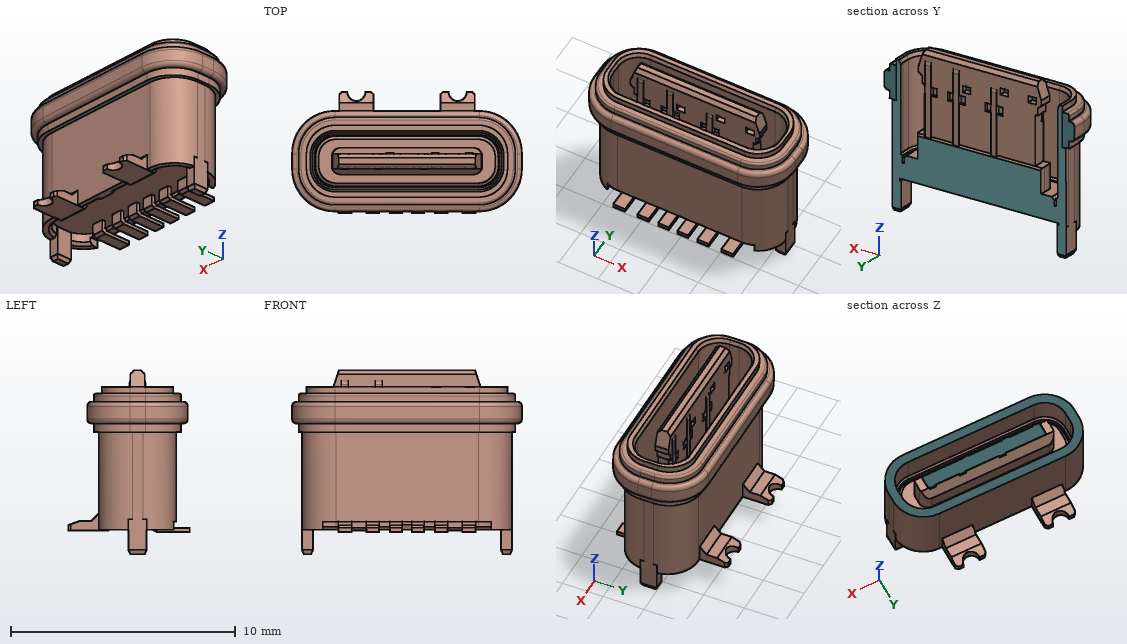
import cadquery as cq
import math


TOTAL_HEIGHT = 8.2
SHELL_BOTTOM = 1.09
SEAL_BOTTOM = 5.44
BEAD_BOTTOM = 5.82
BEAD_TOP = 6.8
SEAL_TOP = 7.16
RIM_TOP = 7.45

BEAD_HALF_X = 5.12
BEAD_HALF_Y = 2.24
BEAD_CORNER = 1.9
SLEEVE_INSET = 0.3
BORE_INSET = 0.65
BEAD_FILLET = 0.22
SLEEVE_FILLET = 0.1

SHELL_HALF_X = 4.68
SHELL_HALF_Y = 1.73
SHELL_CORNER = 1.51
MOUTH_INSET = 0.37
CAVITY_INSET = 0.46
LEDGE_INSET = 0.55
PEDESTAL_INSET = 0.61
LEAD_IN_DEPTH = 0.19
CAVITY_FLOOR = 2.46
LEDGE_TOP = 2.81
PEDESTAL_TOP = 2.87
PEDESTAL_CHAMFER = 0.14

RECESS_INSET = 0.41
RECESS_TOP = 1.64
RECESS_CHAMFER = 0.14
NOTCH_HALF_X = 3.75
NOTCH_TOP = 1.45

RIB_WIDTH = 0.82
RIB_FACE_Y = 1.23
RIB_BEVEL_TOP = 1.31
RIB_BEVEL_DEPTH = 0.12

TONGUE_HALF_Y = 0.33
TONGUE_TIP_HALF_X = 3.03
TONGUE_HALF_X = 3.3
TONGUE_SHOULDER_TOP = 7.39
TONGUE_SHOULDER_BOTTOM = 7.11
LATCH_HALF_X = 3.1
LATCH_TOP = 6.96
STEM_HALF_X = 2.98
STEM_TOP = 6.59
TIP_CHAMFER = 0.18
TONGUE_BASE_HALF_X = 3.36
TONGUE_BASE_HALF_Y = 0.59
TONGUE_BASE_CORNER = 0.41
TONGUE_BASE_TOP = 4.1
TONGUE_BASE_EDGE = 3.58

CONTACTS = [(-2.76, 7.73), (-1.26, 7.73), (0.76, 7.32)]
CONTACT_WIDTH = 0.32
CONTACT_RISE = 0.04
CONTACT_BEVEL = 0.16
WINDOW_WIDTH = 0.42
WINDOW_HEIGHT = 0.32
WINDOW_SHIFT = 0.04
WINDOW_DROP = 0.45
WINDOW_DEPTH = 0.31
RELIEF_WIDTH = 0.92
RELIEF_TOP = 6.51
RELIEF_HEIGHT = 0.41
RELIEF_DEPTH = 0.15

LEG_HALF_Y = 0.41
LEG_THICKNESS = 0.5
LEG_TOP = 1.57
LEG_TIP_HEIGHT = 0.19
LEG_TIP_INSET = 0.09

TAB_CENTER_X = 2.25
TAB_WIDTH = 1.53
TAB_TIP_Y = 3.08
TAB_BOTTOM = 1.05
TAB_INNER_Y = 1.17
TAB_INNER_BEVEL = 0.13
TAB_TIP_TOP = 1.3
TAB_TOP = 1.48
TAB_FLAT_OUTER_Y = 2.59
TAB_FLAT_INNER_Y = 2.07
TAB_CORNER = 0.11
TAB_NOTCH_RADIUS = 0.4

FEET = [(2.75, 0.6), (1.53, 0.57), (0.49, 0.54)]
FOOT_TIP_Y = -2.32
FOOT_BOTTOM = 0.99
FOOT_THICKNESS = 0.18
FOOT_RISER_Y = -0.86
FOOT_BEND = 0.12
FOOT_HEEL_RISE = 0.09


def rounded_block(half_x, half_y, corner, bottom, top):
    """Upright block whose four vertical edges are rounded."""
    block = cq.Workplane("XY").box(2 * half_x, 2 * half_y, top - bottom, centered=(True, True, False))
    return block.edges("|Z").fillet(corner).translate((0, 0, bottom))


def seal_block(inset, bottom, top):
    """Block on the bead outline, shrunk by an inset."""
    return rounded_block(BEAD_HALF_X - inset, BEAD_HALF_Y - inset, BEAD_CORNER - inset, bottom, top)


def shell_block(inset, bottom, top):
    """Block on the shell outline, shrunk by an inset."""
    return rounded_block(SHELL_HALF_X - inset, SHELL_HALF_Y - inset, SHELL_CORNER - inset, bottom, top)


def flared_block(inset, flared_inset, base, height):
    """Block on the shell outline that widens from its base; a negative height builds it downwards."""
    half_x = SHELL_HALF_X - inset
    half_y = SHELL_HALF_Y - inset
    plan = cq.Sketch().rect(2 * half_x, 2 * half_y).vertices().fillet(SHELL_CORNER - inset)
    flare_angle = math.degrees(math.atan2(inset - flared_inset, abs(height)))
    block = cq.Workplane("XY").placeSketch(plan).extrude(abs(height), taper=-flare_angle)
    if height < 0:
        block = block.mirror("XY")
    return block.translate((0, 0, base))


def box_between(x_range, y_range, z_range):
    size = [high - low for low, high in (x_range, y_range, z_range)]
    corner = (x_range[0], y_range[0], z_range[0])
    return cq.Workplane("XY").box(*size, centered=False).translate(corner)


def side_profile(points, center_x, width):
    """Extrude an outline of (y, z) points along X, centred on center_x."""
    outline = cq.Workplane("YZ").polyline(points).close()
    return outline.extrude(width / 2, both=True).translate((center_x, 0, 0))


def turned_half_round(shape):
    return shape.rotate((0, 0, 0), (0, 0, 1), 180)


def make_seal():
    """Sleeve with a rounded bead around its middle."""
    sleeve = seal_block(SLEEVE_INSET, SEAL_BOTTOM, SEAL_TOP).faces(">Z").edges().fillet(SLEEVE_FILLET)
    bead = seal_block(0, BEAD_BOTTOM, BEAD_TOP).faces("<Z or >Z").edges().fillet(BEAD_FILLET)
    bore = seal_block(BORE_INSET, SEAL_BOTTOM, SEAL_TOP)
    return sleeve.union(bead).cut(bore)


def make_shell():
    """Hollow shell: a neck for the seal, the plug cavity above and a shallow recess below."""
    shell = shell_block(0, SHELL_BOTTOM, SEAL_BOTTOM)
    shell = shell.union(seal_block(BORE_INSET, SEAL_BOTTOM, RIM_TOP))
    return shell.cut(make_cavity()).cut(make_recess()).cut(make_notch())


def make_cavity():
    """Plug cavity with a flared mouth, a bevelled ledge and a groove around the pedestal."""
    lead_in = flared_block(CAVITY_INSET, MOUTH_INSET, RIM_TOP - LEAD_IN_DEPTH, LEAD_IN_DEPTH)
    bore = shell_block(CAVITY_INSET, LEDGE_TOP, RIM_TOP)
    bore = bore.faces("<Z").edges().chamfer(LEDGE_INSET - CAVITY_INSET)
    groove = shell_block(LEDGE_INSET, CAVITY_FLOOR, RIM_TOP)
    pedestal = shell_block(PEDESTAL_INSET, CAVITY_FLOOR, PEDESTAL_TOP)
    pedestal = pedestal.faces(">Z").edges().chamfer(PEDESTAL_CHAMFER)
    return bore.union(lead_in).union(groove).cut(pedestal)


def make_recess():
    """Recess under the shell, with its lower rim bevelled."""
    recess = shell_block(RECESS_INSET, SHELL_BOTTOM, RECESS_TOP)
    bevel_top = SHELL_BOTTOM + RECESS_CHAMFER
    bevel = flared_block(RECESS_INSET, RECESS_INSET - RECESS_CHAMFER, bevel_top, -RECESS_CHAMFER)
    return recess.union(bevel)


def make_notch():
    """Opening in the lower edge of the -Y wall."""
    return box_between((-NOTCH_HALF_X, NOTCH_HALF_X), (-SHELL_HALF_Y, 0), (SHELL_BOTTOM, NOTCH_TOP))


def make_recess_rib():
    """Rib on the +Y wall of the recess, with its lower edge bevelled."""
    points = [
        (RIB_FACE_Y, RECESS_TOP),
        (RIB_FACE_Y, RIB_BEVEL_TOP),
        (RIB_FACE_Y + RIB_BEVEL_DEPTH, SHELL_BOTTOM),
        (SHELL_HALF_Y, SHELL_BOTTOM),
        (SHELL_HALF_Y, RECESS_TOP),
    ]
    return side_profile(points, 0, RIB_WIDTH)


def make_tongue():
    """Flat blade with bevelled tip, latch notches at its ends and a thicker foot on the pedestal."""
    right_edge = [
        (TONGUE_TIP_HALF_X, TOTAL_HEIGHT),
        (TONGUE_HALF_X, TONGUE_SHOULDER_TOP),
        (TONGUE_HALF_X, TONGUE_SHOULDER_BOTTOM),
        (LATCH_HALF_X, LATCH_TOP),
        (LATCH_HALF_X, STEM_TOP),
        (STEM_HALF_X, STEM_TOP),
        (STEM_HALF_X, CAVITY_FLOOR),
    ]
    left_edge = [(-x, z) for x, z in reversed(right_edge)]
    front_outline = cq.Workplane("XZ").polyline(right_edge + left_edge).close()
    blade = front_outline.extrude(TONGUE_HALF_Y, both=True)
    tip_half_y = TONGUE_HALF_Y - TIP_CHAMFER
    tip_start = TOTAL_HEIGHT - TIP_CHAMFER
    section = [
        (-TONGUE_HALF_Y, CAVITY_FLOOR),
        (-TONGUE_HALF_Y, tip_start),
        (-tip_half_y, TOTAL_HEIGHT),
        (tip_half_y, TOTAL_HEIGHT),
        (TONGUE_HALF_Y, tip_start),
        (TONGUE_HALF_Y, CAVITY_FLOOR),
    ]
    blade = blade.intersect(side_profile(section, 0, 2 * TONGUE_HALF_X))
    return blade.union(make_tongue_base())


def make_tongue_base():
    """Wider foot of the tongue, sloping up to the blade."""
    section = [
        (-TONGUE_BASE_HALF_Y, CAVITY_FLOOR),
        (-TONGUE_BASE_HALF_Y, TONGUE_BASE_EDGE),
        (-TONGUE_HALF_Y, TONGUE_BASE_TOP),
        (TONGUE_HALF_Y, TONGUE_BASE_TOP),
        (TONGUE_BASE_HALF_Y, TONGUE_BASE_EDGE),
        (TONGUE_BASE_HALF_Y, CAVITY_FLOOR),
    ]
    roof = side_profile(section, 0, 2 * TONGUE_BASE_HALF_X)
    plan = rounded_block(
        TONGUE_BASE_HALF_X, TONGUE_BASE_HALF_Y, TONGUE_BASE_CORNER, CAVITY_FLOOR, TONGUE_BASE_TOP
    )
    return roof.intersect(plan)


def make_contact(center_x, top):
    """Strip on the -Y face of the tongue, bevelled at its upper end and rooted in the tongue."""
    face_y = -TONGUE_HALF_Y
    points = [
        (0, CAVITY_FLOOR),
        (face_y - CONTACT_RISE, CAVITY_FLOOR),
        (face_y - CONTACT_RISE, top - CONTACT_BEVEL),
        (face_y, top),
        (0, top),
    ]
    return side_profile(points, center_x, CONTACT_WIDTH)


def make_relief(center_x):
    """Shallow pocket in the -Y face that a contact strip crosses."""
    return box_between(
        (center_x - RELIEF_WIDTH / 2, center_x + RELIEF_WIDTH / 2),
        (-TONGUE_HALF_Y, RELIEF_DEPTH - TONGUE_HALF_Y),
        (RELIEF_TOP - RELIEF_HEIGHT, RELIEF_TOP),
    )


def make_window(center_x, contact_top):
    """Blind window in the -Y face, behind a contact strip of the +Y face."""
    center_z = contact_top - WINDOW_DROP
    return box_between(
        (center_x - WINDOW_WIDTH / 2, center_x + WINDOW_WIDTH / 2),
        (-TONGUE_HALF_Y, WINDOW_DEPTH - TONGUE_HALF_Y),
        (center_z - WINDOW_HEIGHT / 2, center_z + WINDOW_HEIGHT / 2),
    )


def add_contacts(tongue):
    for center_x, _ in CONTACTS:
        relief = make_relief(center_x)
        tongue = tongue.cut(relief).cut(turned_half_round(relief))
    for center_x, top in CONTACTS:
        contact = make_contact(center_x, top)
        tongue = tongue.union(contact).union(turned_half_round(contact))
    for center_x, top in CONTACTS:
        window = make_window(WINDOW_SHIFT - center_x, top)
        tongue = tongue.cut(window).cut(turned_half_round(window))
    return tongue


def make_leg():
    """Leg at the +X end, with its lower tip tapered on all four sides."""
    leg = box_between((SHELL_HALF_X - LEG_THICKNESS, SHELL_HALF_X), (-LEG_HALF_Y, LEG_HALF_Y), (0, LEG_TOP))
    return leg.faces("<Z").edges().chamfer(LEG_TIP_HEIGHT, LEG_TIP_INSET)


def make_tab(center_x):
    """Mounting tab with a half-round notch in its tip and a sloped root on the shell."""
    root_top = TAB_TOP + TAB_FLAT_INNER_Y - SHELL_HALF_Y
    points = [
        (TAB_INNER_Y + TAB_INNER_BEVEL, TAB_BOTTOM),
        (TAB_TIP_Y, TAB_BOTTOM),
        (TAB_TIP_Y, TAB_TIP_TOP),
        (TAB_FLAT_OUTER_Y, TAB_TOP),
        (TAB_FLAT_INNER_Y, TAB_TOP),
        (SHELL_HALF_Y, root_top),
        (TAB_INNER_Y, root_top),
        (TAB_INNER_Y, TAB_BOTTOM + TAB_INNER_BEVEL),
    ]
    tab = side_profile(points, 0, TAB_WIDTH)
    tab = tab.edges("|Z").edges(">Y").chamfer(TAB_CORNER)
    notch = cq.Workplane("XY").circle(TAB_NOTCH_RADIUS).extrude(TAB_TOP).translate((0, TAB_TIP_Y, 0))
    return tab.cut(notch).translate((center_x, 0, 0))


def make_foot(center_x, width):
    """Flat solder foot that bends up into the recess under the shell."""
    foot_top = FOOT_BOTTOM + FOOT_THICKNESS
    riser_back_y = FOOT_RISER_Y + FOOT_THICKNESS
    points = [
        (FOOT_TIP_Y, FOOT_BOTTOM),
        (FOOT_RISER_Y, FOOT_BOTTOM),
        (riser_back_y, FOOT_BOTTOM + FOOT_HEEL_RISE),
        (riser_back_y, RECESS_TOP),
        (FOOT_RISER_Y, RECESS_TOP),
        (FOOT_RISER_Y, foot_top + FOOT_BEND),
        (FOOT_RISER_Y - FOOT_BEND, foot_top),
        (FOOT_TIP_Y, foot_top),
    ]
    return side_profile(points, center_x, width)


def make_connector():
    connector = make_shell().union(make_recess_rib()).union(add_contacts(make_tongue()))
    leg = make_leg()
    connector = connector.union(leg).union(turned_half_round(leg))
    for side in (-1, 1):
        connector = connector.union(make_tab(side * TAB_CENTER_X))
        for distance, width in FEET:
            connector = connector.union(make_foot(side * distance, width))
    return connector


seal = make_seal()
connector = make_connector()

result = cq.Compound.makeCompound([connector.val(), seal.val()])